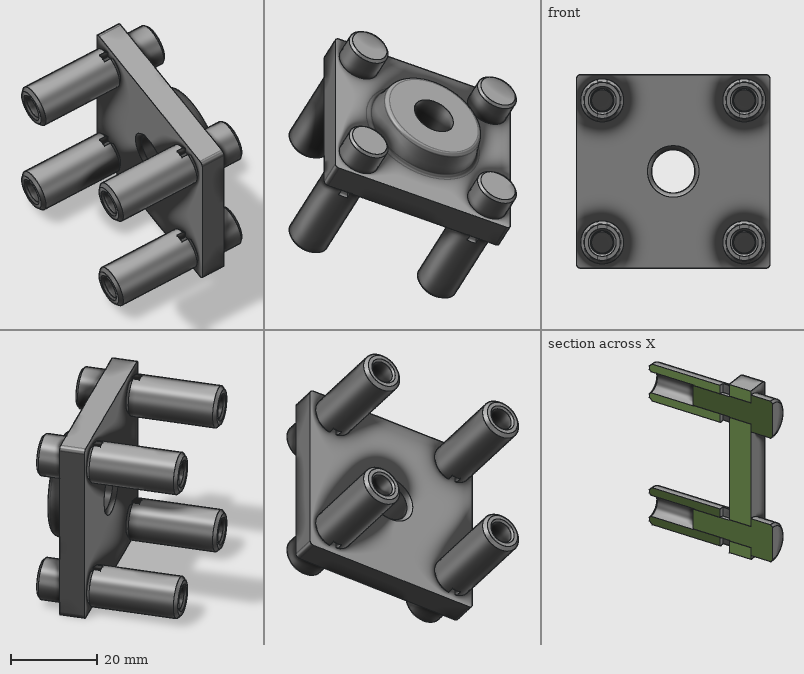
import cadquery as cq
import math

plate_side = 45.0
total_depth = 34.0

sleeve_length = 22.0
sleeve_radius = 5.0
sleeve_chamfer = 0.8
bore_chamfer = 0.5
slot_width = 2.25
slot_depth = 2.45

plate_thickness = (total_depth - sleeve_length) / 2
corner_radius = 1.0
screw_spacing = 33.0

boss_height = plate_thickness
boss_base_radius = 13.75
boss_draft = math.radians(15)
boss_top_radius = boss_base_radius - boss_height * math.tan(boss_draft)
boss_fillet = 1.0
center_hole_radius = 5.0
center_hole_chamfer = 1.0

head_height = plate_thickness
head_radius = sleeve_radius
head_chamfer = 0.6
shank_radius = 2.75
shank_reach = 10.0
tip_chamfer = 0.25

plate_back = plate_thickness
boss_top = plate_back + boss_height
sleeve_end = -sleeve_length
screw_places = [(sx * screw_spacing / 2, sz * screw_spacing / 2) for sx in (-1, 1) for sz in (-1, 1)]


def turned(profile):
    """Solid of revolution about the Y axis from (radius, y) points."""
    return cq.Workplane("XY").polyline(profile).close().revolve(360, (0, 0), (0, 1))


def make_plate():
    """Square plate with a tapered boss, a chamfered central hole and four screw holes."""
    square = (
        cq.Workplane("XY")
        .box(plate_side, plate_thickness, plate_side)
        .edges("|Y")
        .fillet(corner_radius)
        .translate((0, plate_thickness / 2, 0))
    )
    boss = turned([
        (0, plate_back),
        (boss_base_radius, plate_back),
        (boss_top_radius, boss_top),
        (0, boss_top),
    ])
    plate = square.union(boss)
    boss_space = cq.selectors.BoxSelector(
        (-boss_base_radius, plate_back / 2, -boss_base_radius),
        (boss_base_radius, 2 * boss_top, boss_base_radius),
    )
    plate = plate.edges("%CIRCLE").edges(boss_space).fillet(boss_fillet)

    center_hole = turned([
        (0, 0),
        (center_hole_radius + center_hole_chamfer, 0),
        (center_hole_radius, center_hole_chamfer),
        (center_hole_radius, boss_top),
        (0, boss_top),
    ])
    plate = plate.cut(center_hole)
    for x, z in screw_places:
        screw_hole = turned([(0, 0), (shank_radius, 0), (shank_radius, plate_back), (0, plate_back)])
        plate = plate.cut(screw_hole.translate((x, 0, z)))
    return plate


def make_screw(x, z):
    """Cap screw with a chamfered head and a chamfered tip."""
    head_top = plate_back + head_height
    screw = turned([
        (0, -shank_reach),
        (shank_radius - tip_chamfer, -shank_reach),
        (shank_radius, tip_chamfer - shank_reach),
        (shank_radius, plate_back),
        (head_radius, plate_back),
        (head_radius, head_top - head_chamfer),
        (head_radius - head_chamfer, head_top),
        (0, head_top),
    ])
    return screw.translate((x, 0, z))


def make_sleeve(x, z):
    """Bored sleeve, chamfered at both ends, with a slot across its plate end."""
    sleeve = turned([
        (shank_radius, 0),
        (sleeve_radius - sleeve_chamfer, 0),
        (sleeve_radius, -sleeve_chamfer),
        (sleeve_radius, sleeve_end + sleeve_chamfer),
        (sleeve_radius - sleeve_chamfer, sleeve_end),
        (shank_radius + bore_chamfer, sleeve_end),
        (shank_radius, sleeve_end + bore_chamfer),
    ])
    slot = (
        cq.Workplane("XY")
        .box(slot_width, slot_depth, 2 * sleeve_radius)
        .translate((0, -slot_depth / 2, 0))
    )
    return sleeve.cut(slot).translate((x, 0, z))


plate = make_plate()
screws = [make_screw(x, z) for x, z in screw_places]
sleeves = [make_sleeve(x, z) for x, z in screw_places]

result = cq.Compound.makeCompound(
    [plate.val()] + [screw.val() for screw in screws] + [sleeve.val() for sleeve in sleeves]
)